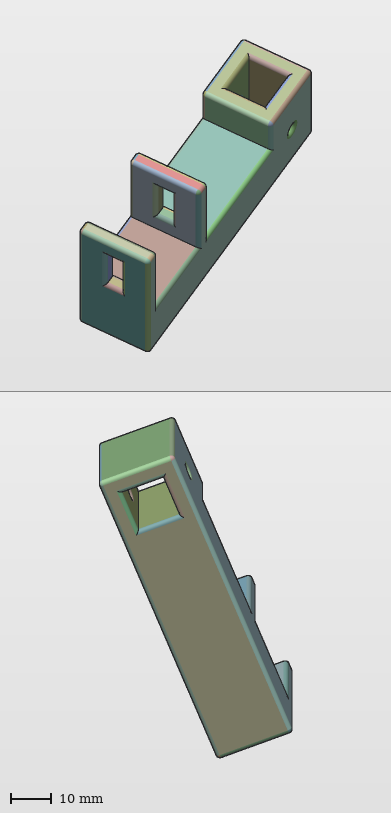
import cadquery as cq

width = 20.0
length = 79.6
height = 37.0

base_height = 15.0
block_length = width
block_height = 25.0
wall_thickness = 4.0
wall_gap = 20.6

well_size = 10.8
window_width = 4.45
window_height = 12.0
window_bottom = 20.0
pin_hole_diameter = 3.0
pin_hole_height = 12.0

edge_radius = 1.0
pick_margin = 0.1

front_y = -length / 2
back_y = length / 2
block_front_y = back_y - block_length
block_center_y = back_y - block_length / 2
wall_front_places = (front_y, front_y + wall_thickness + wall_gap)
window_center_z = window_bottom + window_height / 2


def floor_box(start_y, size_y, size_z):
    """Full-width box standing on the bottom plane, from start_y towards +Y."""
    return cq.Workplane("XY", origin=(0, start_y, 0)).box(
        width, size_y, size_z, centered=(True, False, False)
    )


def pick_box(center, spans):
    """Selector for edges centred inside a box; a zero span leaves a thin slice."""
    low = [middle - span / 2 - pick_margin for middle, span in zip(center, spans)]
    high = [middle + span / 2 + pick_margin for middle, span in zip(center, spans)]
    return cq.selectors.BoxSelector(low, high)


def round_rims(body, centers, spans):
    """Round the rim of an opening at each of its end faces."""
    for center in centers:
        body = body.edges(pick_box(center, spans)).fillet(edge_radius)
    return body


def make_body():
    """Base bar with a block and two upright walls; every convex edge is rounded."""
    body = floor_box(front_y, length, base_height)
    body = body.union(floor_box(block_front_y, block_length, block_height))
    for wall_y in wall_front_places:
        body = body.union(floor_box(wall_y, wall_thickness, height))

    inner_corners = pick_box((0, 0, base_height), (0, length, 0))
    return body.edges(cq.selectors.InverseSelector(inner_corners)).fillet(edge_radius)


def cut_well(body):
    """Square opening down through the block."""
    well = cq.Workplane("XY", origin=(0, block_center_y, 0)).box(
        well_size, well_size, block_height, centered=(True, True, False)
    )
    rim_centers = [(0, block_center_y, rim_z) for rim_z in (0, block_height)]
    return round_rims(body.cut(well), rim_centers, (well_size, well_size, 0))


def cut_window(body, wall_y):
    """Upright rectangular window through the wall that starts at wall_y."""
    window = cq.Workplane("XY", origin=(0, wall_y, window_bottom)).box(
        window_width, wall_thickness, window_height, centered=(True, False, False)
    )
    rim_centers = [(0, rim_y, window_center_z) for rim_y in (wall_y, wall_y + wall_thickness)]
    return round_rims(body.cut(window), rim_centers, (window_width, 0, window_height))


def cut_pin_hole(body):
    """Round hole along X through both side walls of the block."""
    pin_hole = (
        cq.Workplane("YZ", origin=(-width / 2, block_center_y, pin_hole_height))
        .circle(pin_hole_diameter / 2)
        .extrude(width)
    )
    rim_places = (-width / 2, -well_size / 2, well_size / 2, width / 2)
    rim_centers = [(rim_x, block_center_y, pin_hole_height) for rim_x in rim_places]
    return round_rims(body.cut(pin_hole), rim_centers, (0, 0, 0))


result = cut_well(make_body())
for wall_y in wall_front_places:
    result = cut_window(result, wall_y)
result = cut_pin_hole(result)